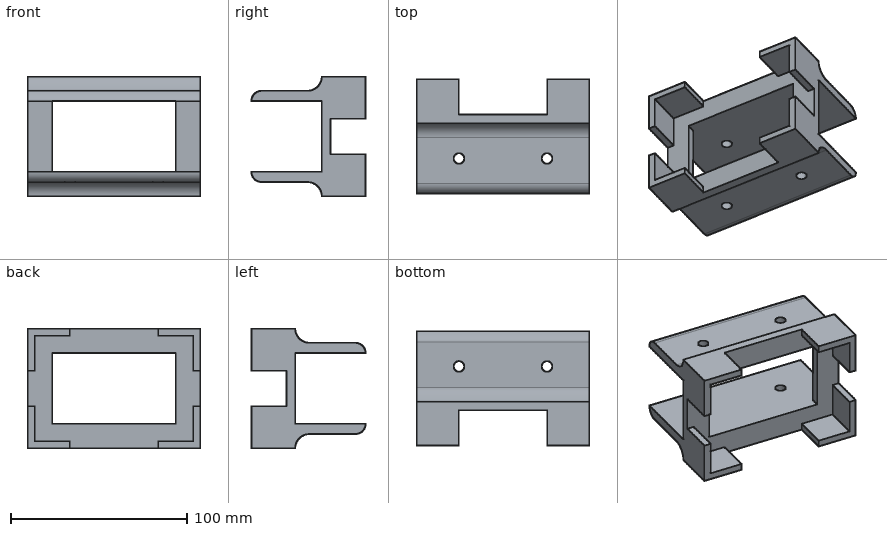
import cadquery as cq
import math

length = 98.0
depth = 65.0
back_depth = 25.0
channel_gap = 40.0
flange_thickness = 6.0
root_radius = 8.0
nose_radius = flange_thickness
recess_depth = 20.0
slot_height = 20.0
notch_width = 50.0
pocket_wall = 4.0
window_width = 70.0
hole_diameter = 5.9
hole_spacing = notch_width
hole_setback = 20.0

inner_z = channel_gap / 2
flange_z = inner_z + flange_thickness
height = 2 * (flange_z + root_radius)
body_front_y = depth - back_depth
recess_centre_y = depth - recess_depth / 2


def arc_middle(centre_y, centre_z, radius, y_side, z_side):
    """Middle point of a quarter arc lying on the given sides of its centre."""
    offset = radius * math.sqrt(0.5)
    return (centre_y + y_side * offset, centre_z + z_side * offset)


def make_upper_half():
    """Half of the extruded profile above the Z = 0 plane."""
    root_centre_y = body_front_y - root_radius
    profile = (
        cq.Workplane("YZ", origin=(-length / 2, 0, 0))
        .moveTo(body_front_y, 0)
        .lineTo(depth, 0)
        .lineTo(depth, height / 2)
        .lineTo(body_front_y, height / 2)
        .threePointArc(
            arc_middle(root_centre_y, height / 2, root_radius, 1, -1),
            (root_centre_y, flange_z),
        )
        .lineTo(nose_radius, flange_z)
        .threePointArc(
            arc_middle(nose_radius, inner_z, nose_radius, -1, 1),
            (0, inner_z),
        )
        .lineTo(body_front_y, inner_z)
        .close()
    )
    return profile.extrude(length)


def make_rear_slot():
    """Slot across the rear face, along the whole length."""
    return cq.Workplane().box(length, recess_depth, slot_height).translate((0, recess_centre_y, 0))


def make_rear_notch():
    """Notch in the middle of the rear face, through the whole height."""
    return cq.Workplane().box(notch_width, recess_depth, height).translate((0, recess_centre_y, 0))


def make_rear_pocket():
    """Rectangular pocket in the rear face, wider than the notch and taller than the slot."""
    pocket_length = length - 2 * pocket_wall
    pocket_height = height - 2 * pocket_wall
    return cq.Workplane().box(pocket_length, recess_depth, pocket_height).translate((0, recess_centre_y, 0))


def make_window():
    """Opening through the body, as tall as the gap between the flanges."""
    return cq.Workplane().box(window_width, depth, channel_gap).translate((0, depth / 2, 0))


def make_flange_holes():
    """Two holes passing through both flanges."""
    return (
        cq.Workplane("XY", origin=(0, hole_setback, -height / 2))
        .pushPoints([(-hole_spacing / 2, 0), (hole_spacing / 2, 0)])
        .circle(hole_diameter / 2)
        .extrude(height)
    )


upper_half = make_upper_half()
body = upper_half.union(upper_half.mirror("XY"))
result = (
    body.cut(make_rear_slot())
    .cut(make_rear_notch())
    .cut(make_rear_pocket())
    .cut(make_window())
    .cut(make_flange_holes())
)